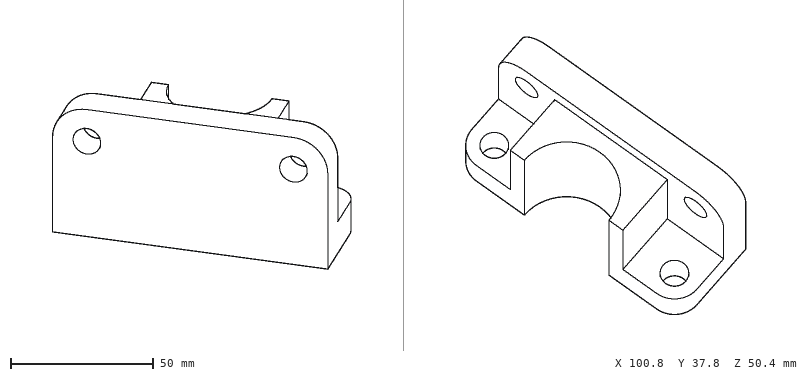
import cadquery as cq

length = 100.8
depth = 37.8
height = 50.4
wall = 12.6
hole_diameter = 10.1
plate_corner_radius = 12.6
base_corner_radius = 10.1
saddle_width = 50.4
saddle_height = height - wall / 2
bore_radius = 1.5 * wall


def box(width, y_size, z_size):
    """Block centred on X, standing on Z = 0 with its front at Y = 0."""
    return cq.Workplane("XY").box(width, y_size, z_size, centered=(True, False, False))


def upright_plate():
    plate = box(length, wall, height).edges("|Y and >Z").fillet(plate_corner_radius)
    hole_x = length / 2 - plate_corner_radius
    hole_z = height - plate_corner_radius
    holes = (
        cq.Workplane("XZ")
        .pushPoints([(-hole_x, hole_z), (hole_x, hole_z)])
        .circle(hole_diameter / 2)
        .extrude(-wall)
    )
    return plate.cut(holes)


def base_flange():
    base = box(length, depth, wall).edges("|Z and >Y").fillet(base_corner_radius)
    hole_x = length / 2 - base_corner_radius
    hole_y = depth - base_corner_radius
    holes = (
        cq.Workplane("XY")
        .pushPoints([(-hole_x, hole_y), (hole_x, hole_y)])
        .circle(hole_diameter / 2)
        .extrude(wall)
    )
    return base.cut(holes)


saddle = box(saddle_width, depth, saddle_height)

bore = cq.Workplane("XY").center(0, depth).circle(bore_radius).extrude(height)

result = upright_plate().union(base_flange()).union(saddle).cut(bore)